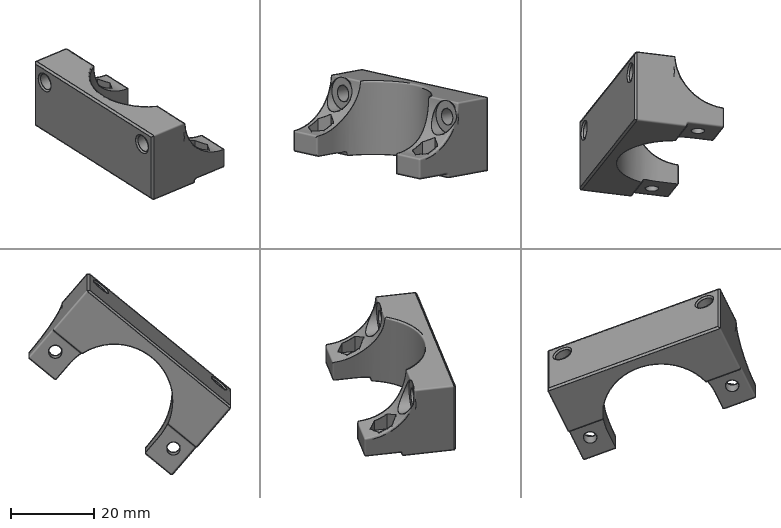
import cadquery as cq
import math

length = 45.0
depth = 22.35
height = 18.0
chamfer_width = 0.5
edge_radius = 0.45

step_height = 1.0
step_radius = step_height / 2
step_y = 13.2
scoop_radius = 12.5
scoop_y = 22.5
scoop_z = 18.5

saddle_radius = 14.0
saddle_y = 17.0

screw_spacing = 37.0
screw_xs = [length / 2 - screw_spacing / 2, length / 2 + screw_spacing / 2]
front_hole_z = 14.0
front_hole_diameter = 4.0
mouth_chamfer = 0.4
head_diameter = 7.9
head_seat_y = 9.85
nut_hole_diameter = 3.2
nut_flats = 5.5
nut_floor_z = 4.0

tolerance = 0.005


def scoop_height(y):
    return scoop_z - math.sqrt(scoop_radius**2 - (scoop_y - y) ** 2)


def scoop_depth(z):
    return scoop_y - math.sqrt(scoop_radius**2 - (scoop_z - z) ** 2)


def side_profile_body():
    """Extrude the YZ outline along the full length."""
    middle_angle = math.radians(225)
    middle = (
        scoop_y + scoop_radius * math.cos(middle_angle),
        scoop_z + scoop_radius * math.sin(middle_angle),
    )
    return (
        cq.Workplane("YZ")
        .moveTo(0, 0)
        .lineTo(step_y - step_radius, 0)
        .radiusArc((step_y, step_radius), -step_radius)
        .radiusArc((step_y + step_radius, step_height), step_radius)
        .lineTo(depth, step_height)
        .lineTo(depth, scoop_height(depth))
        .threePointArc(middle, (scoop_depth(height), height))
        .lineTo(0, height)
        .close()
        .extrude(length)
    )


def cut_saddle(body):
    round_part = cq.Workplane().center(length / 2, saddle_y).circle(saddle_radius).extrude(height)
    straight_part = (
        cq.Workplane()
        .center(length / 2, saddle_y)
        .rect(2 * saddle_radius, depth, centered=(True, False))
        .extrude(height)
    )
    return body.cut(round_part).cut(straight_part)


def soften_edges(body):
    """Chamfer the front outline; round the others but the right scoop edge and lower saddle edge."""
    body = body.faces("<Y").edges().chamfer(chamfer_width)

    def should_round(edge):
        box = edge.BoundingBox()
        on_chamfer = box.ymin < chamfer_width - tolerance or box.ymax < chamfer_width + tolerance
        on_left = box.xmax < tolerance
        on_right = box.xmin > length - tolerance
        on_top = box.zmin > height - tolerance
        on_rear = box.ymin > depth - tolerance
        on_scoop = box.zmax - box.zmin > height / 2
        if on_chamfer:
            return False
        if on_left or on_top or on_rear:
            return True
        return on_right and not on_scoop

    edges = [edge for edge in body.edges().vals() if should_round(edge)]
    return body.newObject(edges).fillet(edge_radius)


def cut_front_screw(body, x):
    """Chamfered front hole with a screw-head recess open to the rear."""
    front = cq.Workplane("XZ").center(x, front_hole_z)
    hole = front.circle(front_hole_diameter / 2).extrude(-depth)
    mouth = cq.Workplane(
        cq.Solid.makeCone(
            front_hole_diameter / 2 + mouth_chamfer,
            front_hole_diameter / 2,
            mouth_chamfer,
            cq.Vector(x, 0, front_hole_z),
            cq.Vector(0, 1, 0),
        )
    )
    head = front.workplane(offset=-head_seat_y).circle(head_diameter / 2).extrude(-depth)
    return body.cut(hole).cut(mouth).cut(head)


def cut_nut_pocket(body, x):
    """Vertical through hole with a hexagonal pocket above it."""
    hole = cq.Workplane().center(x, saddle_y).circle(nut_hole_diameter / 2).extrude(height)
    pocket = (
        cq.Workplane(origin=(x, saddle_y, nut_floor_z))
        .transformed(rotate=(0, 0, 90))
        .polygon(6, nut_flats / math.cos(math.pi / 6))
        .extrude(height)
    )
    return body.cut(hole).cut(pocket)


result = soften_edges(cut_saddle(side_profile_body()))
for screw_x in screw_xs:
    result = cut_front_screw(result, screw_x)
    result = cut_nut_pocket(result, screw_x)